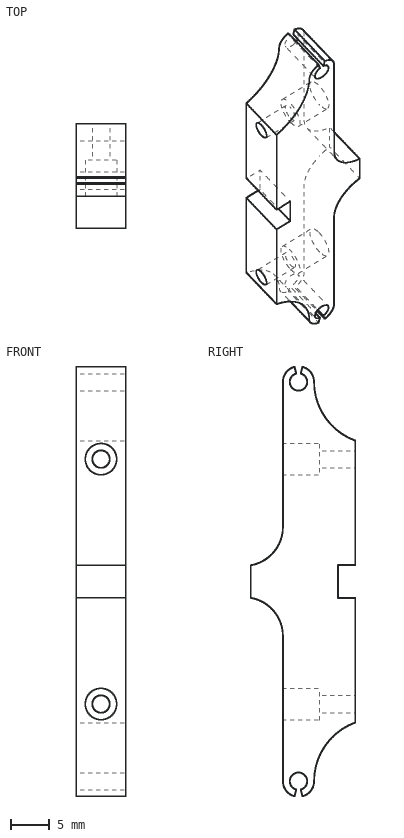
import cadquery as cq
import math

length = 55.15
width = 6.4
total_depth = 13.45
boss_height = 4.15
thickness = total_depth - boss_height

boss_tip_width = 4.2
boss_fillet_radius = 4.95
notch_width = 4.2
notch_depth = 2.2

eye_radius = 2.015
eye_hole_diameter = 2.2
slot_outer_width = 1.0
slot_inner_width = 0.55
eye_y = eye_radius
eye_z = length / 2 - math.sqrt(eye_radius**2 - (slot_outer_width / 2) ** 2)

shoulder_radius = 8.0

screw_z = 15.7
screw_hole_diameter = 2.2
screw_head_diameter = 4.0
screw_head_depth = thickness / 2


def arc_point(center, radius, angle):
    return (center[0] + radius * math.cos(angle), center[1] + radius * math.sin(angle))


def upper_half():
    """Upper half of the bar, outlined in the YZ plane and centred on X."""
    fillet_sweep = math.acos((boss_fillet_radius - boss_height) / boss_fillet_radius)
    fillet_z = boss_tip_width / 2 + boss_fillet_radius * math.sin(fillet_sweep)
    fillet_center = (-boss_fillet_radius, fillet_z)
    fillet_middle = arc_point(fillet_center, boss_fillet_radius, -fillet_sweep / 2)

    eye_back = 2 * eye_radius
    shoulder_center = (eye_back + shoulder_radius, eye_z)
    shoulder_sweep = math.acos((shoulder_center[0] - thickness) / shoulder_radius)
    shoulder_middle = arc_point(shoulder_center, shoulder_radius, math.pi + shoulder_sweep / 2)
    shoulder_end = arc_point(shoulder_center, shoulder_radius, math.pi + shoulder_sweep)

    return (
        cq.Workplane("YZ")
        .moveTo(-boss_height, 0)
        .lineTo(-boss_height, boss_tip_width / 2)
        .threePointArc(fillet_middle, (0, fillet_z))
        .lineTo(0, eye_z)
        .threePointArc((eye_y, eye_z + eye_radius), (eye_back, eye_z))
        .threePointArc(shoulder_middle, shoulder_end)
        .lineTo(thickness, notch_width / 2)
        .lineTo(thickness - notch_depth, notch_width / 2)
        .lineTo(thickness - notch_depth, 0)
        .close()
        .extrude(width / 2, both=True)
    )


def eye_cutter():
    """Eye hole along X together with the tapered slot opening upwards."""
    hole_radius = eye_hole_diameter / 2
    hole = cq.Workplane("YZ").center(eye_y, eye_z).circle(hole_radius).extrude(width, both=True)

    inner = slot_inner_width / 2
    outer = slot_outer_width / 2
    rim_z = eye_z + math.sqrt(hole_radius**2 - inner**2)
    end_z = length / 2
    clear_z = eye_z + 2 * eye_radius
    slot = (
        cq.Workplane("YZ")
        .polyline(
            [
                (eye_y - inner, eye_z),
                (eye_y - inner, rim_z),
                (eye_y - outer, end_z),
                (eye_y - outer, clear_z),
                (eye_y + outer, clear_z),
                (eye_y + outer, end_z),
                (eye_y + inner, rim_z),
                (eye_y + inner, eye_z),
            ]
        )
        .close()
        .extrude(width, both=True)
    )
    return hole.union(slot)


def screw_cutter(z):
    """Through hole along Y with a counterbore from the front face."""
    start = cq.Workplane("XZ").center(0, z)
    hole = start.circle(screw_hole_diameter / 2).extrude(-thickness)
    head = start.circle(screw_head_diameter / 2).extrude(-screw_head_depth)
    return hole.union(head)


half = upper_half().cut(eye_cutter())
result = half.union(half.mirror("XY"))
for z in (-screw_z, screw_z):
    result = result.cut(screw_cutter(z))